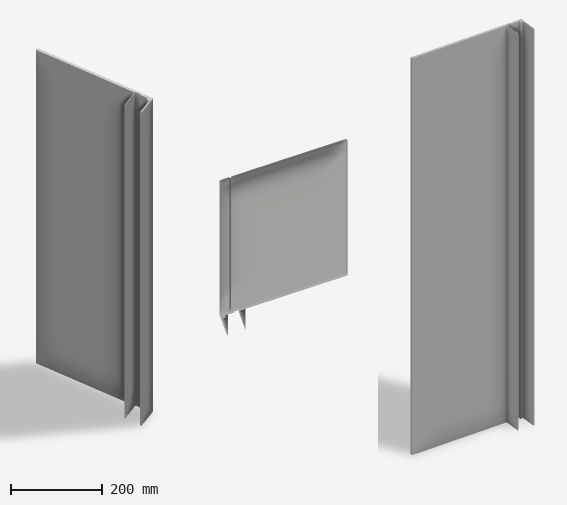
import cadquery as cq

height = 999.0
width = 293.0
depth = 50.0

panel_width = 250.0
panel_thickness = 6.0

flange_thickness = 1.0
flange_depth = 49.0
plate_thickness = 4.0
lap_depth = 3.0
plate_right = 266.0
tongue_left = 262.0

head_width = 10.0
head_depth = 11.0
leg_thickness = 3.0
lip_left = 270.0

head_left = width - head_width


def extrude_outline(points):
    """Extrude an XY outline over the full height."""
    return cq.Workplane("XY").polyline(points).close().extrude(height)


def make_panel():
    """Flat board with its back face at Y = 0."""
    return extrude_outline([
        (0, 0),
        (panel_width, 0),
        (panel_width, -panel_thickness),
        (0, -panel_thickness),
    ])


def make_joining_strip():
    """Flange running forward, and a plate stepping forward into a tongue."""
    flange_right = panel_width + flange_thickness
    return extrude_outline([
        (panel_width, 0),
        (plate_right, 0),
        (plate_right, -lap_depth),
        (head_left, -lap_depth),
        (head_left, -panel_thickness),
        (tongue_left, -panel_thickness),
        (tongue_left, -plate_thickness),
        (flange_right, -plate_thickness),
        (flange_right, -flange_depth),
        (panel_width, -flange_depth),
    ])


def make_corner_post():
    """Head with a thin leg on its outer side and a back lip toward the panel."""
    leg_left = width - leg_thickness
    return extrude_outline([
        (lip_left, 0),
        (width, 0),
        (width, -depth),
        (leg_left, -depth),
        (leg_left, -head_depth),
        (head_left, -head_depth),
        (head_left, -lap_depth),
        (lip_left, -lap_depth),
    ])


panel = make_panel()
joining_strip = make_joining_strip()
corner_post = make_corner_post()

result = cq.Compound.makeCompound([
    panel.val(),
    joining_strip.val(),
    corner_post.val(),
])